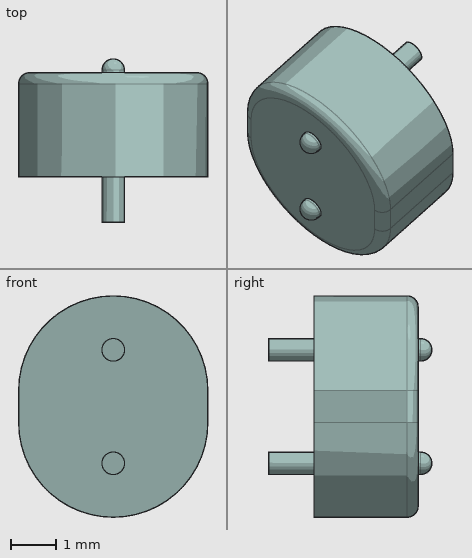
import cadquery as cq

body_width = 4.17
body_height = 4.88
body_depth = 2.3
rim_fillet = 0.25

pin_diameter = 0.5
pin_spacing = 2.5
pin_front_length = 1.0
pin_back_collar = 0.055

pin_radius = pin_diameter / 2
pin_straight_length = pin_front_length + body_depth + pin_back_collar


def make_body():
    """Stadium block from Y = 0 to the back face, with a rounded back rim."""
    block = (
        cq.Workplane("XZ")
        .slot2D(body_height, body_width, angle=90)
        .extrude(-body_depth)
    )
    return block.faces(">Y").edges().fillet(rim_fillet)


def make_pin(z):
    """Pin with a flat front end and a hemispherical back end."""
    shank = (
        cq.Workplane("XZ", origin=(0, -pin_front_length, z))
        .circle(pin_radius)
        .extrude(-pin_straight_length)
    )
    dome_center = (0, body_depth + pin_back_collar, z)
    dome = cq.Workplane("XY", origin=dome_center).sphere(pin_radius)
    return shank.union(dome)


result = make_body()
for side in (-1, 1):
    result = result.union(make_pin(side * pin_spacing / 2))